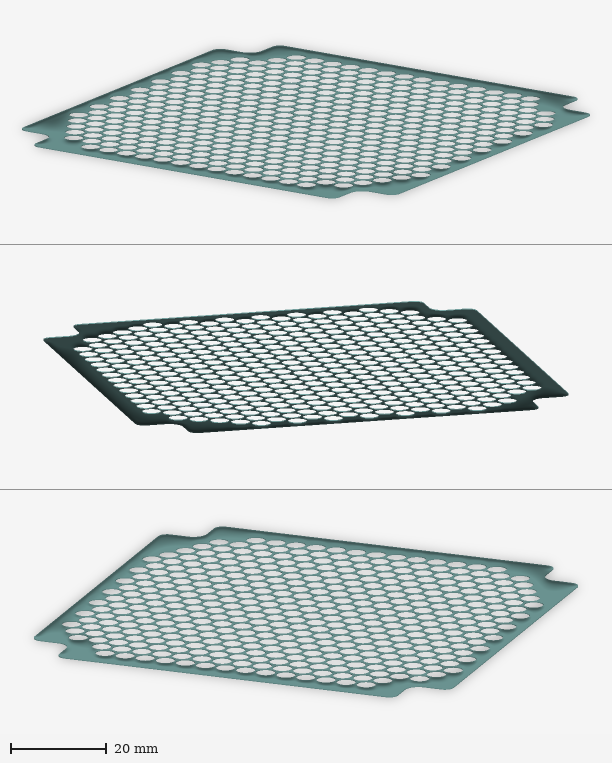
import cadquery as cq
import math

plate_side = 94.0
plate_thickness = 0.2
notch_side = 9.0
outer_corner_radius = 2.0
notch_corner_radius = 3.0

hole_diameter = 4.0
hole_wall = 0.46
hole_pitch = hole_diameter + hole_wall
row_pitch = hole_pitch * math.sin(math.radians(60))

top_rows = [14, 15, 18, 19]
middle_rows = [20, 19] * 6 + [20]
bottom_rows = [19, 18, 17, 16, 13]
holes_per_row = top_rows + middle_rows + bottom_rows


def make_plate():
    """Cross-shaped plate: a square with a rounded notch in each corner."""
    half_side = plate_side / 2
    arm_width = plate_side - 2 * notch_side
    half_arm = arm_width / 2
    upright = cq.Workplane("XY").box(arm_width, plate_side, plate_thickness)
    crossbar = cq.Workplane("XY").box(plate_side, arm_width, plate_thickness)
    plate = upright.union(crossbar)

    def box_around(x, y):
        """Selector for the upright edge at one corner of the outline."""
        tolerance = 0.1
        low = (x - tolerance, y - tolerance, -plate_thickness)
        high = (x + tolerance, y + tolerance, plate_thickness)
        return cq.selectors.BoxSelector(low, high)

    for x_sign in (-1, 1):
        for y_sign in (-1, 1):
            corners = [
                (half_arm, half_arm, notch_corner_radius),
                (half_side, half_arm, outer_corner_radius),
                (half_arm, half_side, outer_corner_radius),
            ]
            for x, y, radius in corners:
                selector = box_around(x_sign * x, y_sign * y)
                plate = plate.edges("|Z").edges(selector).fillet(radius)
    return plate


def hole_centres():
    """Centres of all holes, row by row."""
    first_row_y = row_pitch * (len(holes_per_row) - 1) / 2
    centres = []
    for row, count in enumerate(holes_per_row):
        y = first_row_y - row * row_pitch
        first_x = -hole_pitch * (count - 1) / 2
        for column in range(count):
            centres.append((first_x + column * hole_pitch, y))
    return centres


def make_hole_cutters():
    """One cylinder through the plate at every hole centre."""
    cutters = cq.Workplane("XY").pushPoints(hole_centres()).circle(hole_diameter / 2)
    return cutters.extrude(plate_thickness, both=True)


result = make_plate().cut(make_hole_cutters())